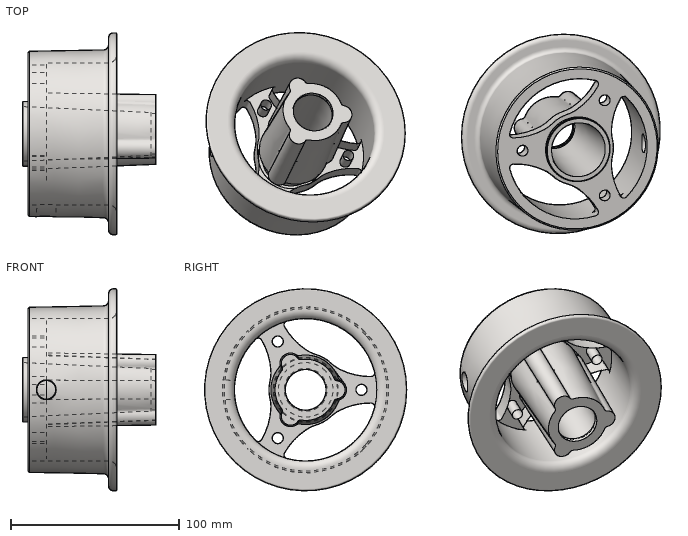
import cadquery as cq
import math

web_front_x = 3.25
web_back_x = 14.3
rim_root_x = 48.0
rim_back_x = 56.0
hub_back_x = 79.2

barrel_front_radius = 49.1
barrel_back_radius = 49.9
barrel_edge_chamfer = 0.9
flange_radius = 60.0
flange_round = 3.0
flange_back_round = 1.0
flange_land = 1.0

cavity_radius = 42.2
cavity_mouth_round = 5.0

boss_radius = 19.25
boss_chamfer = 0.4
hub_draft = 2.2
hub_back_radius = 18.15
bore_front_radius = 16.2
bore_back_radius = 12.7
bore_lip_radius = 12.0
bore_lip_length = 3.0

lobe_center_radius = 18.0
lobe_back_radius = 5.4
lobe_draft = 0.75
lobe_fillet = 2.0

slot_hub_radius = 21.85
slot_side_radius = 40.0
slot_side_center_y = -60.65
slot_side_center_z = 9.2
slot_hub_blend = 23.0
slot_tip_round = 2.2

spoke_count = 3
bolt_circle_radius = 33.1
bolt_hole_radius = 3.2

port_x = 14.1
port_outer_radius = 5.95
port_inner_radius = 5.45


def revolve_about_x(profile):
    """Close an (x, radius) profile and revolve it about the X axis."""
    return profile.close().revolve(360, (0, 0, 0), (1, 0, 0))


def per_spoke(body):
    """Copies of a body turned about the X axis, one for each spoke."""
    step = 360.0 / spoke_count
    return [body.rotate((0, 0, 0), (1, 0, 0), i * step) for i in range(spoke_count)]


def make_barrel():
    """Drafted barrel with a rounded flange at its back, still solid inside."""
    flange_front_x = rim_root_x + flange_round
    land_x = flange_front_x + flange_round
    profile = (
        cq.Workplane("XY")
        .moveTo(web_front_x, 0)
        .lineTo(web_front_x, barrel_front_radius - barrel_edge_chamfer)
        .lineTo(web_front_x + barrel_edge_chamfer, barrel_front_radius)
        .lineTo(rim_root_x, barrel_back_radius)
        .radiusArc((flange_front_x, barrel_back_radius + flange_round), -flange_round)
        .lineTo(flange_front_x, flange_radius - flange_round)
        .radiusArc((land_x, flange_radius), flange_round)
        .lineTo(land_x + flange_land, flange_radius)
        .radiusArc((rim_back_x, flange_radius - flange_back_round), flange_back_round)
        .lineTo(rim_back_x, 0)
    )
    return revolve_about_x(profile)


def make_cavity():
    """Space between the web and the back of the barrel, with a rounded mouth."""
    mouth_x = rim_back_x - cavity_mouth_round
    profile = (
        cq.Workplane("XY")
        .moveTo(web_back_x, 0)
        .lineTo(web_back_x, cavity_radius)
        .lineTo(mouth_x, cavity_radius)
        .radiusArc((rim_back_x, cavity_radius + cavity_mouth_round), -cavity_mouth_round)
        .lineTo(rim_back_x, 0)
    )
    return revolve_about_x(profile)


def meet_side_arc(radius):
    """Upper point where a circle about the wheel axis meets the slot's side arc, as (y, z)."""
    distance = math.hypot(slot_side_center_y, slot_side_center_z)
    toward_center = math.atan2(slot_side_center_z, slot_side_center_y)
    cosine = (distance**2 + radius**2 - slot_side_radius**2) / (2 * distance * radius)
    angle = toward_center - math.acos(cosine)
    return radius * math.cos(angle), radius * math.sin(angle)


def make_slot():
    """Opening between two spokes, centred on -Y."""
    root_y, root_z = meet_side_arc(slot_hub_radius)
    tip_y, tip_z = meet_side_arc(cavity_radius)
    slot = (
        cq.Workplane("YZ", origin=(web_front_x, 0, 0))
        .moveTo(root_y, -root_z)
        .threePointArc((-slot_hub_radius, 0), (root_y, root_z))
        .radiusArc((tip_y, tip_z), -slot_side_radius)
        .threePointArc((-cavity_radius, 0), (tip_y, -tip_z))
        .radiusArc((root_y, -root_z), -slot_side_radius)
        .close()
        .extrude(web_back_x - web_front_x)
    )
    between_y = (root_y + tip_y) / 2
    roots = cq.selectors.BoxSelector((0, between_y, -tip_z), (rim_back_x, 0, tip_z))
    slot = slot.edges("|X").edges(roots).fillet(slot_hub_blend)
    tips = cq.selectors.BoxSelector(
        (0, tip_y - slot_tip_round, -tip_z - slot_tip_round),
        (rim_back_x, tip_y + slot_tip_round, tip_z + slot_tip_round),
    )
    return slot.edges("|X").edges(tips).fillet(slot_tip_round)


def make_drafted_post(back_radius, draft, center_y):
    """Round post along X from the web to the hub back, narrowing toward the back."""
    length = hub_back_x - web_back_x
    front_radius = back_radius + length * math.tan(math.radians(draft))
    start = cq.Vector(web_back_x, center_y, 0)
    post = cq.Solid.makeCone(front_radius, back_radius, length, start, cq.Vector(1, 0, 0))
    return cq.Workplane("YZ").add(post)


def make_hub():
    """Drafted hub behind the web, with a drafted lobe behind each spoke."""
    hub = make_drafted_post(hub_back_radius, hub_draft, 0)
    lobe = make_drafted_post(lobe_back_radius, lobe_draft, lobe_center_radius)
    for lobe_copy in per_spoke(lobe):
        hub = hub.union(lobe_copy)
    creases = "%BSPLINE or %OTHER or %HYPERBOLA"
    return hub.edges(creases).fillet(lobe_fillet)


def make_boss():
    """Short round boss standing out in front of the web."""
    return cq.Workplane("YZ").circle(boss_radius).extrude(web_back_x).faces("<X").chamfer(boss_chamfer)


def make_bore():
    """Tapered bore ending in a narrower lip at the back of the hub."""
    lip_x = hub_back_x - bore_lip_length
    profile = (
        cq.Workplane("XY")
        .lineTo(0, bore_front_radius)
        .lineTo(lip_x, bore_back_radius)
        .lineTo(lip_x, bore_lip_radius)
        .lineTo(hub_back_x, bore_lip_radius)
        .lineTo(hub_back_x, 0)
    )
    return revolve_about_x(profile)


def make_bolt_hole():
    """Hole through the spoke on +Y."""
    return cq.Workplane("YZ").center(bolt_circle_radius, 0).circle(bolt_hole_radius).extrude(web_back_x)


def make_port():
    """Radial hole that narrows inward through the -Y wall of the barrel."""
    margin = 1.5
    start_y = -cavity_radius + margin
    return (
        cq.Workplane("XZ", origin=(port_x, start_y, 0))
        .circle(port_inner_radius)
        .workplane(offset=barrel_back_radius + start_y)
        .circle(port_outer_radius)
        .loft()
    )


wheel = make_barrel()
for slot_copy in per_spoke(make_slot()):
    wheel = wheel.cut(slot_copy)
wheel = wheel.cut(make_cavity()).union(make_boss()).union(make_hub())
for hole_copy in per_spoke(make_bolt_hole()):
    wheel = wheel.cut(hole_copy)
result = wheel.cut(make_bore()).cut(make_port())